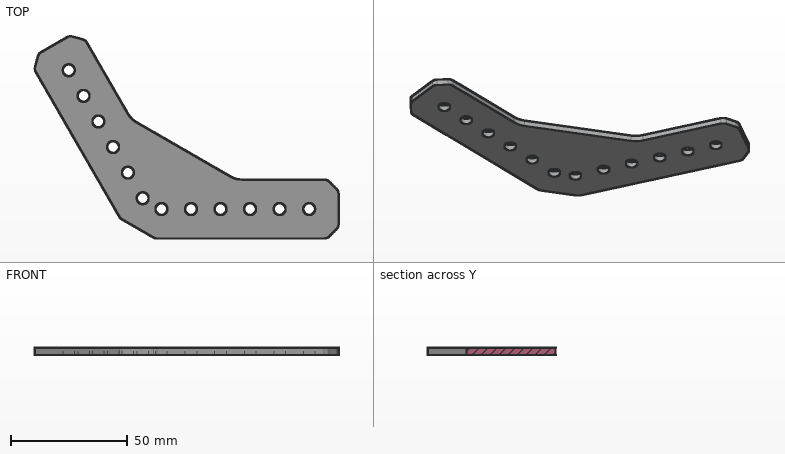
import cadquery as cq
import math


hole_pitch = 12.7
holes_per_arm = 6
thickness = 3.175
hole_diameter = 5.0
arm_angle = 120.0

arm_width = 2 * hole_pitch
arm_length = (holes_per_arm + 1) * hole_pitch

end_chamfer = 5.0
elbow_chamfer = 10.0
web_leg = 30.0
outer_radius = 3.0
web_radius = 10.0

inner_corner_x = arm_width / math.tan(math.radians(arm_angle / 2))


def mirror_across_bisector(point):
    """Move a point of the first arm to the matching place on the second arm."""
    x, y = point
    angle = math.radians(arm_angle)
    return (
        x * math.cos(angle) + y * math.sin(angle),
        x * math.sin(angle) - y * math.cos(angle),
    )


def with_mirror(points):
    """Return the points of the first arm followed by their second-arm partners."""
    return points + [mirror_across_bisector(point) for point in reversed(points)]


def round_corners(plate, corners, radius):
    """Round the upright edges standing on the given corners of the outline."""
    edges = plate.edges(cq.selectors.NearestToPointSelector((*corners[0], thickness / 2)))
    for corner in corners[1:]:
        edges = edges.add(
            plate.edges(cq.selectors.NearestToPointSelector((*corner, thickness / 2)))
        )
    return edges.fillet(radius)


def make_plate():
    """Build the rounded plate without its holes."""
    convex_corners = [
        (elbow_chamfer, 0),
        (arm_length - end_chamfer, 0),
        (arm_length, end_chamfer),
        (arm_length, arm_width - end_chamfer),
        (arm_length - end_chamfer, arm_width),
    ]
    web_corner = (inner_corner_x + web_leg, arm_width)
    outline = with_mirror(convex_corners + [web_corner])
    plate = cq.Workplane("XY").polyline(outline).close().extrude(thickness)
    plate = round_corners(plate, with_mirror(convex_corners), outer_radius)
    return round_corners(plate, with_mirror([web_corner]), web_radius)


def drill_holes(plate):
    """Drill the row of through holes along the middle of each arm."""
    first_arm_holes = [
        (arm_length - (index + 1) * hole_pitch, arm_width / 2)
        for index in range(holes_per_arm)
    ]
    holes = (
        cq.Workplane("XY")
        .pushPoints(with_mirror(first_arm_holes))
        .circle(hole_diameter / 2)
        .extrude(thickness)
    )
    return plate.cut(holes)


result = drill_holes(make_plate())